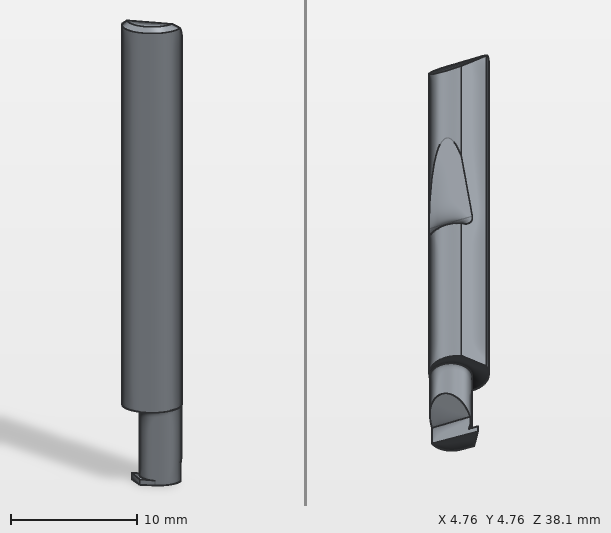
import cadquery as cq
import math

length = 38.1
shank_radius = 2.38
shank_bottom = 6.32
end_chamfer = 0.42
flat_start_angle = 120
flat_end_angle = 180

top_relief_y = -0.65
top_relief_drop = shank_radius - top_relief_y

notch_bottom = 19.62
notch_top = 28.35
notch_floor_y = 0.95
notch_radius = 1.03

neck_radius = 1.68
neck_x = shank_radius - neck_radius
rake_slope_bottom = 1.7

tip_height = 0.55
tip_x = -1.68
tip_corner_x = -0.55
bottom_rise_x = 0.15
bottom_rise_y = 0.05
undercut_depth = 0.1
undercut_height = 0.35


def side_prism(points):
    """Extrude a Y-Z outline along X through the whole tool."""
    return cq.Workplane("YZ").polyline(points).close().extrude(2 * shank_radius, both=True)


def make_shank():
    shank = (
        cq.Workplane("XY", origin=(0, 0, shank_bottom))
        .circle(shank_radius)
        .extrude(length - shank_bottom)
        .faces(">Z")
        .chamfer(end_chamfer)
    )
    half_span = math.radians(flat_end_angle - flat_start_angle) / 2
    flat_distance = shank_radius * math.cos(half_span)
    flat_cutter = (
        cq.Workplane("XY")
        .box(shank_radius, 2 * shank_radius, length, centered=(False, True, False))
        .translate((flat_distance, 0, 0))
        .rotate((0, 0, 0), (0, 0, 1), (flat_start_angle + flat_end_angle) / 2)
    )
    top_relief = side_prism([
        (top_relief_y, length),
        (shank_radius, length),
        (shank_radius, length - top_relief_drop),
    ])
    notch = side_prism([
        (shank_radius, notch_top),
        (notch_floor_y, notch_bottom),
        (shank_radius, notch_bottom),
    ])
    notch = notch.edges("|X").edges("<Y").fillet(notch_radius)
    return shank.cut(flat_cutter).cut(top_relief).cut(notch)


def make_neck_and_tip():
    neck = cq.Workplane("XY").center(neck_x, 0).circle(neck_radius).extrude(shank_bottom)
    neck = neck.cut(make_undercut())
    tip = (
        cq.Workplane("XY")
        .polyline([
            (tip_x, 0),
            (tip_corner_x, -neck_radius),
            (neck_x, -neck_radius),
            (neck_x, 0),
        ])
        .close()
        .extrude(tip_height)
    )
    rake_relief = side_prism([
        (0, 0),
        (0, rake_slope_bottom),
        (neck_radius, rake_slope_bottom + neck_radius),
        (neck_radius, 0),
    ])
    return neck.union(tip).cut(rake_relief).cut(make_bottom_relief())


def make_undercut():
    """Small sloped facet on the -X side of the neck, just above the tip."""
    neck_edge_x = neck_x - neck_radius
    return (
        cq.Workplane("XZ")
        .polyline([
            (neck_edge_x, tip_height),
            (neck_edge_x + undercut_depth, tip_height),
            (neck_edge_x, tip_height + undercut_height),
        ])
        .close()
        .extrude(neck_radius, both=True)
    )


def make_bottom_relief():
    """Wedge clearing the end face away from the cutting corner at (tip_x, 0)."""
    corner = cq.Vector(tip_x, 0, 0)
    along_x = cq.Vector(shank_radius - tip_x, 0, bottom_rise_x)
    along_y = cq.Vector(0, -neck_radius, bottom_rise_y)
    end_plane = cq.Plane(origin=corner, xDir=along_x, normal=along_y.cross(along_x))
    cutter_size = 4 * shank_radius
    return cq.Workplane(end_plane).rect(cutter_size, cutter_size).extrude(-shank_radius)


result = make_shank().union(make_neck_and_tip())